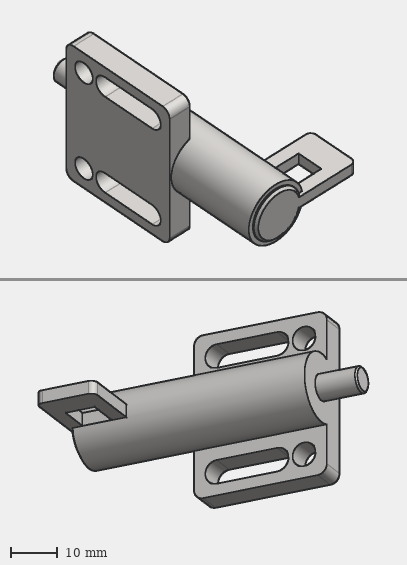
import cadquery as cq

overall_length = 67.0

pin_projection = 10.0
housing_diameter = 16.0
cap_projection = 1.0
housing_end = overall_length - cap_projection
housing_length = housing_end - pin_projection

plate_length = 32.0
plate_height = 38.0
plate_thickness = 6.0
plate_front = -8.5
plate_back = plate_front + plate_thickness
plate_corner_radius = 2.2

hole_diameter = 5.5
edge_margin = 2.75
slot_length = 20.0
row_height = plate_height / 2 - edge_margin - hole_diameter / 2
hole_x = pin_projection + edge_margin + hole_diameter / 2
slot_x = pin_projection + plate_length - edge_margin - slot_length / 2

pin_diameter = 6.0
pin_chamfer = 0.4
cap_diameter = 13.6
cap_chamfer = 0.7

tab_length = 14.0
tab_thickness = 3.0
tab_top = 23.0
tab_corner_radius = 1.5
tab_start = overall_length - tab_length
tab_middle = overall_length - tab_length / 2
window_length = 7.05
window_top = 15.95
window_bottom = housing_diameter / 2


def cylinder_along_x(start, length, diameter):
    return cq.Workplane("YZ", origin=(start, 0, 0)).circle(diameter / 2).extrude(length)


def flat_block(start_x, end_x, start_y, end_y):
    """Block as thick as the tab, centred on Z = 0."""
    block = cq.Workplane("XY").box(
        end_x - start_x, end_y - start_y, tab_thickness, centered=(False, False, True)
    )
    return block.translate((start_x, start_y, 0))


def make_plate():
    plate = cq.Workplane("XY").box(
        plate_length, plate_thickness, plate_height, centered=(False, False, True)
    )
    plate = plate.translate((pin_projection, plate_front, 0))
    return plate.edges("|Y").fillet(plate_corner_radius)


def make_plate_openings():
    """A round hole and a long slot along the upper and lower plate edges."""
    rows = [row_height, -row_height]
    back_face = cq.Workplane("XZ", origin=(0, plate_back, 0))
    hole_points = [(hole_x, z) for z in rows]
    slot_points = [(slot_x, z) for z in rows]
    holes = back_face.pushPoints(hole_points).circle(hole_diameter / 2).extrude(plate_thickness)
    slots = back_face.pushPoints(slot_points).slot2D(slot_length, hole_diameter).extrude(plate_thickness)
    return holes.union(slots)


def make_housing():
    """Barrel and mounting plate, bored for the pin and slotted at the rear for the tab."""
    barrel = cylinder_along_x(pin_projection, housing_length, housing_diameter)
    housing = barrel.union(make_plate()).cut(make_plate_openings())
    bore = cylinder_along_x(pin_projection, housing_length, pin_diameter)
    tab_slot = flat_block(tab_start, housing_end, 0, tab_top)
    return housing.cut(bore).cut(tab_slot)


def make_cap():
    """Rear cap with a chamfered outer rim."""
    cap = cylinder_along_x(housing_end, cap_projection, cap_diameter)
    return cap.faces(">X").chamfer(cap_chamfer)


def make_tab():
    tab = flat_block(tab_start, overall_length, 0, tab_top)
    tab = tab.edges("|Z and >Y").fillet(tab_corner_radius)
    window = flat_block(
        tab_middle - window_length / 2, tab_middle + window_length / 2, window_bottom, window_top
    )
    return tab.cut(window)


def make_plunger():
    """Pin through the whole housing, with the rear cap and the handle tab."""
    pin = cylinder_along_x(0, housing_end, pin_diameter)
    pin = pin.faces("<X").chamfer(pin_chamfer)
    return pin.union(make_cap()).union(make_tab())


housing = make_housing()
plunger = make_plunger()

result = cq.Compound.makeCompound([housing.val(), plunger.val()])